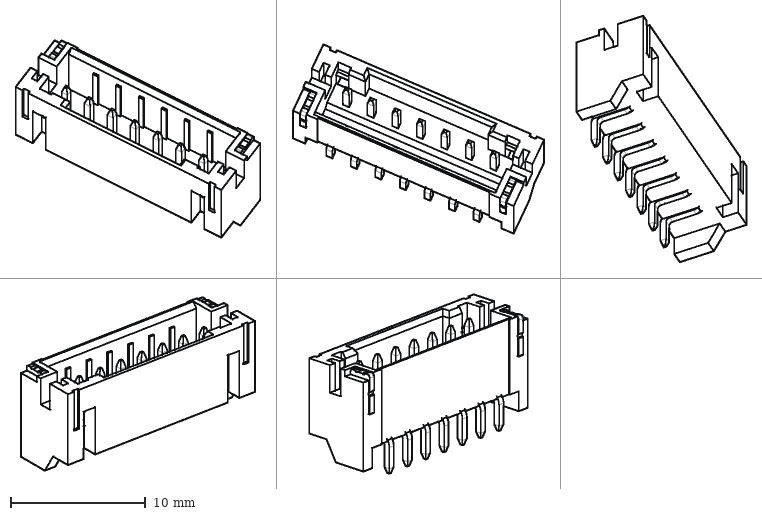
import cadquery as cq


LENGTH = 18.0
DEPTH = 5.5
HEIGHT = 6.0
BACK_RELIEF = 0.1
BACK_RELIEF_LENGTH = 14.0

FOOT_LENGTH = 1.0
FOOT_HEIGHT = 1.6
FOOT_FRONT_TOP = 1.75
FOOT_FRONT_BOTTOM = 2.7

CAVITY_LENGTH = 14.8
CAVITY_FRONT = 1.25
CAVITY_BACK = 4.92
BAY_LENGTH = 10.0
BAY_FRONT = 0.6
FLOOR_Z = 1.9
REAR_FLOOR_Z = 1.2
FLOOR_STEP_FRONT = 2.88
LEAD_IN_FRONT = 0.27
LEAD_IN_BACK = 0.35
LEAD_IN_HEIGHT = 0.45

RIB_WIDTH = 0.4
RIB_DEPTH = 0.15
RIB_TOP = 4.8

NOTCH_FRONT = 2.1
NOTCH_BACK = 3.2
NOTCH_DEPTH = 2.2

WINDOW_INNER_X = 6.38
WINDOW_OUTER_X = 7.5
WINDOW_TOP = 4.0
LEDGE_FRONT = 0.81
LEDGE_EDGE = 1.03
LEDGE_Z = WINDOW_TOP + CAVITY_FRONT - LEDGE_EDGE

CLIP_X = 8.15
CLIP_WIDTH = 0.5
CLIP_FRONT = 3.64
CLIP_BACK = 5.58
CLIP_SEAT_Z = 5.5
CLIP_TOP = 5.95
CLIP_BOTTOM = 2.8
CLIP_THICKNESS = CLIP_TOP - CLIP_SEAT_Z
CLIP_CORNER_RADIUS = 0.22
CLIP_GROOVE_DEPTH = 0.12
CLIP_PAD_DROP = 0.06
CLIP_GROOVE_MIDDLE = 4.6
CLIP_GROOVE_BACK = 5.08
CLIP_PAD_BACK = 4.86
CLIP_REAR_GROOVE_TOP = 4.58
CLIP_REAR_GROOVE_BOTTOM = 4.24
SLOT_HEIGHT = 3.3
FRONT_SLOT_DEPTH = 0.2
INNER_SLOT_LENGTH = 0.8

PIN_COUNT = 7
PIN_PITCH = 2.0
PIN_SIZE = 0.5
PIN_TIP_SIZE = 0.2
PIN_TOP = 5.5
PIN_BOTTOM = -2.6
PIN_TOP_TAPER = 0.53
PIN_BOTTOM_TAPER = 0.5
PIN_FRONT = 2.05
PIN_BACK = 5.58
PIN_RUN_Z = -0.1
PIN_INNER_RADIUS = 0.3
PIN_OUTER_RADIUS = PIN_INNER_RADIUS + PIN_SIZE


def box(x_range, y_range, z_range):
    """Box between two X, two Y and two Z values."""
    corners = list(zip(x_range, y_range, z_range))
    size = [high - low for low, high in zip(*corners)]
    return cq.Workplane("XY").box(*size, centered=False).translate(corners[0])


def centred_box(x, width, y_range, z_range):
    """Box centred on one X value."""
    return box((x - width / 2, x + width / 2), y_range, z_range)


def side_profile(x, width):
    """Workplane for a YZ outline that is extruded by width, centred on x."""
    return cq.Workplane("YZ").workplane(offset=x - width / 2)


def make_body():
    """Plain housing block with its relieved back face and two feet."""
    body = centred_box(0, LENGTH, (0, DEPTH), (0, HEIGHT))
    relief = centred_box(0, BACK_RELIEF_LENGTH, (DEPTH - BACK_RELIEF, DEPTH), (0, HEIGHT))
    body = body.cut(relief)
    for side in (-1, 1):
        foot_x = side * (LENGTH - FOOT_LENGTH) / 2
        foot = (
            side_profile(foot_x, FOOT_LENGTH)
            .polyline([
                (FOOT_FRONT_TOP, 0),
                (FOOT_FRONT_BOTTOM, -FOOT_HEIGHT),
                (DEPTH, -FOOT_HEIGHT),
                (DEPTH, 0),
            ])
            .close()
            .extrude(FOOT_LENGTH)
        )
        body = body.union(foot)
    return body


def make_cavity():
    """Space inside the housing: stepped floor, thin front bay and lead-in chamfers."""
    lead_in_z = HEIGHT - LEAD_IN_HEIGHT
    main = (
        side_profile(0, CAVITY_LENGTH)
        .polyline([
            (CAVITY_FRONT, FLOOR_Z),
            (FLOOR_STEP_FRONT, FLOOR_Z),
            (NOTCH_BACK, REAR_FLOOR_Z),
            (CAVITY_BACK, REAR_FLOOR_Z),
            (CAVITY_BACK, lead_in_z),
            (CAVITY_BACK + LEAD_IN_BACK, HEIGHT),
            (CAVITY_FRONT - LEAD_IN_FRONT, HEIGHT),
            (CAVITY_FRONT, lead_in_z),
        ])
        .close()
        .extrude(CAVITY_LENGTH)
    )
    bay = centred_box(0, BAY_LENGTH, (BAY_FRONT, CAVITY_FRONT), (FLOOR_Z, HEIGHT))
    bay_middle = (BAY_FRONT + CAVITY_FRONT) / 2
    bay_width = CAVITY_FRONT - BAY_FRONT
    bay_lead_in = (
        cq.Workplane("XY", origin=(0, bay_middle, lead_in_z))
        .rect(BAY_LENGTH, bay_width)
        .workplane(offset=LEAD_IN_HEIGHT)
        .rect(BAY_LENGTH + 2 * LEAD_IN_FRONT, bay_width + 2 * LEAD_IN_FRONT)
        .loft(ruled=True)
    )
    return main.union(bay).union(bay_lead_in)


def make_ribs():
    """Guide ribs on the back wall, one midway between each two pins."""
    ribs = cq.Workplane("XY")
    for index in range(PIN_COUNT - 1):
        x = (index - (PIN_COUNT - 2) / 2) * PIN_PITCH
        rib = centred_box(x, RIB_WIDTH, (CAVITY_BACK - RIB_DEPTH, CAVITY_BACK), (REAR_FLOOR_Z, RIB_TOP))
        ribs = ribs.add(rib)
    return ribs.combine()


def end_cuts(side):
    """Notch, window, ledge, slots and clip seat of one end (side is -1 or 1)."""
    end_x = side * LENGTH / 2
    wall_x = side * CAVITY_LENGTH / 2
    clip_x = side * CLIP_X
    slot_z = (HEIGHT - SLOT_HEIGHT, HEIGHT)
    notch_x = sorted((end_x, wall_x))
    notch = box(notch_x, (NOTCH_FRONT, NOTCH_BACK), (HEIGHT - NOTCH_DEPTH, HEIGHT))

    window_x = sorted((side * WINDOW_INNER_X, side * WINDOW_OUTER_X))
    window = box(window_x, (0, CAVITY_FRONT), (0, WINDOW_TOP))

    ledge_x = sorted((side * WINDOW_INNER_X, wall_x))
    ledge_width = ledge_x[1] - ledge_x[0]
    ledge = (
        side_profile(sum(ledge_x) / 2, ledge_width)
        .polyline([
            (LEDGE_FRONT, HEIGHT),
            (LEDGE_FRONT, LEDGE_Z),
            (LEDGE_EDGE, LEDGE_Z),
            (CAVITY_FRONT, WINDOW_TOP),
            (CAVITY_FRONT, HEIGHT),
        ])
        .close()
        .extrude(ledge_width)
    )

    front_slot = centred_box(clip_x, CLIP_WIDTH, (0, FRONT_SLOT_DEPTH), slot_z)
    inner_slot = centred_box(clip_x, CLIP_WIDTH, (NOTCH_FRONT - INNER_SLOT_LENGTH, NOTCH_FRONT), slot_z)

    seat_x = sorted((end_x, clip_x - side * CLIP_WIDTH / 2))
    seat = box(seat_x, (CLIP_FRONT, DEPTH), (CLIP_SEAT_Z, HEIGHT))
    return [notch, window, ledge, front_slot, inner_slot, seat]


def make_clip(side):
    """L-shaped clip: a grooved arm on top of the end and a leg down its back."""
    corner = CLIP_CORNER_RADIUS
    inner_y = CLIP_BACK - CLIP_THICKNESS
    groove_front = 2 * CLIP_GROOVE_MIDDLE - CLIP_GROOVE_BACK
    pad_front = 2 * CLIP_GROOVE_MIDDLE - CLIP_PAD_BACK
    pad_z = CLIP_TOP - CLIP_PAD_DROP
    groove_z = CLIP_TOP - CLIP_GROOVE_DEPTH
    back_groove_y = (CLIP_GROOVE_BACK + CLIP_PAD_BACK) / 2
    front_groove_y = (groove_front + pad_front) / 2
    rear_groove_z = (CLIP_REAR_GROOVE_TOP + CLIP_REAR_GROOVE_BOTTOM) / 2
    outline = (
        side_profile(side * CLIP_X, CLIP_WIDTH)
        .moveTo(CLIP_FRONT, CLIP_SEAT_Z)
        .lineTo(inner_y, CLIP_SEAT_Z)
        .lineTo(inner_y, CLIP_BOTTOM)
        .lineTo(CLIP_BACK, CLIP_BOTTOM)
        .lineTo(CLIP_BACK, CLIP_REAR_GROOVE_BOTTOM)
        .threePointArc((CLIP_BACK - CLIP_GROOVE_DEPTH, rear_groove_z), (CLIP_BACK, CLIP_REAR_GROOVE_TOP))
        .lineTo(CLIP_BACK, CLIP_TOP - corner)
        .radiusArc((CLIP_BACK - corner, CLIP_TOP), -corner)
        .lineTo(CLIP_GROOVE_BACK, CLIP_TOP)
        .threePointArc((back_groove_y, groove_z), (CLIP_PAD_BACK, pad_z))
        .lineTo(pad_front, pad_z)
        .threePointArc((front_groove_y, groove_z), (groove_front, CLIP_TOP))
        .lineTo(CLIP_FRONT + corner, CLIP_TOP)
        .radiusArc((CLIP_FRONT, CLIP_TOP - corner), -corner)
        .close()
    )
    return outline.extrude(CLIP_WIDTH)


def tapered_tip(x, y, z, length):
    """Pyramid end of a pin on a PIN_SIZE square; a negative length points down."""
    return (
        cq.Workplane("XY", origin=(x, y, z))
        .rect(PIN_SIZE, PIN_SIZE)
        .workplane(offset=length)
        .rect(PIN_TIP_SIZE, PIN_TIP_SIZE)
        .loft(ruled=True)
    )


def make_pin(x):
    """Square pin: post in the cavity, level run through the floor, leg down at the back."""
    post_back = PIN_FRONT + PIN_SIZE
    leg_front = PIN_BACK - PIN_SIZE
    run_top = PIN_RUN_Z + PIN_SIZE
    post_top = PIN_TOP - PIN_TOP_TAPER
    leg_bottom = PIN_BOTTOM + PIN_BOTTOM_TAPER
    bent_bar = (
        side_profile(x, PIN_SIZE)
        .moveTo(PIN_FRONT, post_top)
        .lineTo(PIN_FRONT, PIN_RUN_Z + PIN_OUTER_RADIUS)
        .radiusArc((PIN_FRONT + PIN_OUTER_RADIUS, PIN_RUN_Z), -PIN_OUTER_RADIUS)
        .lineTo(leg_front - PIN_INNER_RADIUS, PIN_RUN_Z)
        .radiusArc((leg_front, PIN_RUN_Z - PIN_INNER_RADIUS), PIN_INNER_RADIUS)
        .lineTo(leg_front, leg_bottom)
        .lineTo(PIN_BACK, leg_bottom)
        .lineTo(PIN_BACK, run_top - PIN_OUTER_RADIUS)
        .radiusArc((PIN_BACK - PIN_OUTER_RADIUS, run_top), -PIN_OUTER_RADIUS)
        .lineTo(post_back + PIN_INNER_RADIUS, run_top)
        .radiusArc((post_back, run_top + PIN_INNER_RADIUS), PIN_INNER_RADIUS)
        .lineTo(post_back, post_top)
        .close()
        .extrude(PIN_SIZE)
    )
    top_tip = tapered_tip(x, PIN_FRONT + PIN_SIZE / 2, post_top, PIN_TOP_TAPER)
    bottom_tip = tapered_tip(x, PIN_BACK - PIN_SIZE / 2, leg_bottom, -PIN_BOTTOM_TAPER)
    return bent_bar.union(top_tip).union(bottom_tip)


def make_housing(pins, clips):
    """Housing with its cavity and end details, and a fitting hole for every pin and clip."""
    housing = make_body().cut(make_cavity()).union(make_ribs())
    for side in (-1, 1):
        for cut in end_cuts(side):
            housing = housing.cut(cut)
    for insert in pins + clips:
        housing = housing.cut(insert)
    return housing


pins = []
for index in range(PIN_COUNT):
    pins.append(make_pin((index - (PIN_COUNT - 1) / 2) * PIN_PITCH))
clips = [make_clip(side) for side in (-1, 1)]
housing = make_housing(pins, clips)

bodies = [housing] + pins + clips
result = cq.Compound.makeCompound([body.solids().val() for body in bodies])